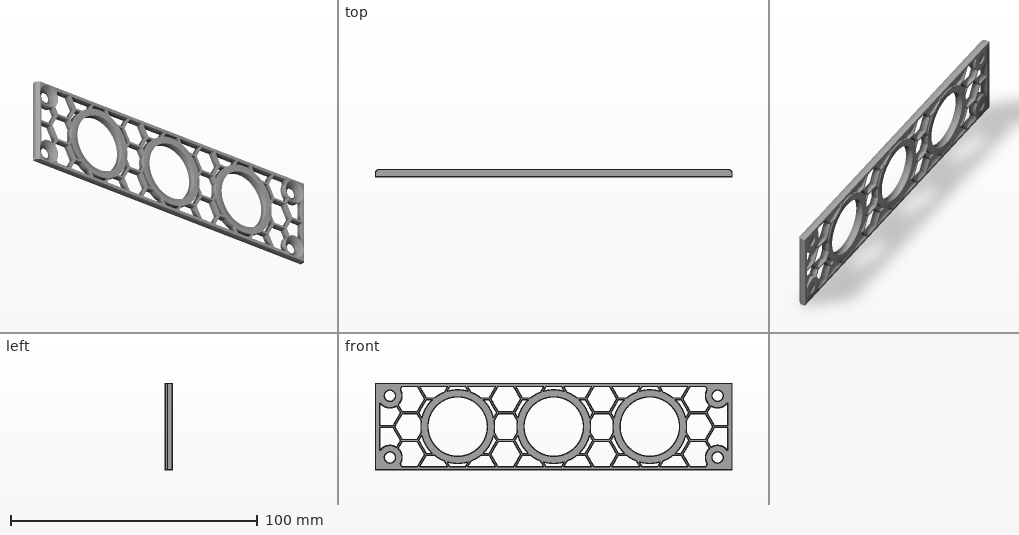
import cadquery as cq
import math

length = 144.8
thickness = 3.0
height = 35.0
end_chamfer = 1.0

end_border = 1.9
long_border = 1.3
window_length = length - 2 * end_border
window_height = height - 2 * long_border

cell_flats = 10.4
cell_wall = 0.83
cell_pitch = cell_flats + cell_wall
cell_corners = cell_flats / math.cos(math.radians(30))
column_pitch = cell_pitch * math.cos(math.radians(30))
side_columns = 7
side_rows = 2

ring_bore = 24.0
ring_outer = 30.0
ring_spacing = 4 * column_pitch
ring_centres = [(-ring_spacing, 0), (0, 0), (ring_spacing, 0)]

screw_hole = 4.5
boss_outer = 10.0
countersink_outer = 9.4
countersink_depth = 2.2
screw_spacing_x = 132.9
screw_spacing_z = 25.0
screw_centres = [
    (side_x * screw_spacing_x / 2, side_z * screw_spacing_z / 2)
    for side_x in (-1, 1)
    for side_z in (-1, 1)
]


def back_face():
    """Sketch plane on the back face, with extrusions running to the front."""
    return cq.Workplane("XZ", origin=(0, thickness, 0))


def block(size_x, size_z):
    return back_face().rect(size_x, size_z).extrude(thickness)


def discs(centres, diameter):
    return back_face().pushPoints(centres).circle(diameter / 2).extrude(thickness)


def honeycomb_centres():
    """Cell centres; odd columns sit half a pitch higher, and the outermost leave the corners solid."""
    centres = []
    for column in range(-side_columns, side_columns + 1):
        shift = cell_pitch / 2 if column % 2 else 0
        for row in range(-side_rows, side_rows + 1):
            x = column * column_pitch
            z = row * cell_pitch + shift
            in_corner = abs(column) == side_columns and abs(z) > cell_pitch
            if not in_corner:
                centres.append((x, z))
    return centres


def honeycomb_openings():
    cells = (
        back_face()
        .pushPoints(honeycomb_centres())
        .polygon(6, cell_corners)
        .extrude(thickness)
    )
    return cells.intersect(block(window_length, window_height))


def countersinks():
    """Cones that open from the screw hole to the back face."""
    taper = math.degrees(math.atan2((countersink_outer - screw_hole) / 2, countersink_depth))
    return (
        back_face()
        .pushPoints(screw_centres)
        .circle(countersink_outer / 2)
        .extrude(countersink_depth, taper=taper)
    )


plate = block(length, height).faces(">Y").edges("|Z").chamfer(end_chamfer)

openings = (
    honeycomb_openings()
    .cut(discs(ring_centres, ring_outer))
    .cut(discs(screw_centres, boss_outer))
)

result = (
    plate.cut(openings)
    .cut(discs(ring_centres, ring_bore))
    .cut(discs(screw_centres, screw_hole))
    .cut(countersinks())
)